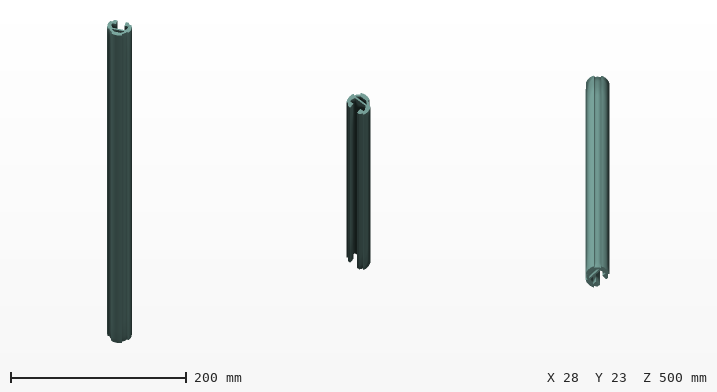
import cadquery as cq
import math

length = 500.0
pad_radius = 14.0
body_radius = 12.0
pad_half_angle = 28.0
pad_angles = (0, 180, 270)
top_y = 9.0

slot_width = 10.0
lip_underside_y = 3.0
slot_top_width = 19.5
slot_side_y = 0.5
slot_floor_width = 15.5
slot_floor_y = -3.5

hollow_top_y = -5.5
hollow_top_width = 16.0
hollow_bottom_y = -9.0
hollow_bottom_width = 8.0


def polar(radius, angle):
    """Point on a circle about the profile axis, with the angle in degrees."""
    return radius * math.cos(math.radians(angle)), radius * math.sin(math.radians(angle))


def symmetric_prism(right_side):
    """Full-length prism from the right half of an outline mirrored about X = 0."""
    left_side = [(-x, y) for x, y in reversed(right_side)]
    return cq.Workplane("XY").polyline(right_side + left_side).close().extrude(length)


def pad(angle):
    """Raised sector with radial ends, overlapping the body on its inner side."""
    inner_radius = (body_radius + slot_top_width / 2) / 2
    start = angle - pad_half_angle
    end = angle + pad_half_angle
    return (
        cq.Workplane("XY")
        .moveTo(*polar(inner_radius, start))
        .lineTo(*polar(pad_radius, start))
        .threePointArc(polar(pad_radius, angle), polar(pad_radius, end))
        .lineTo(*polar(inner_radius, end))
        .threePointArc(polar(inner_radius, angle), polar(inner_radius, start))
        .close()
        .extrude(length)
    )


body = cq.Workplane("XY").circle(body_radius).extrude(length)
for pad_angle in pad_angles:
    body = body.union(pad(pad_angle))

above_lips = cq.Workplane("XY").rect(2 * pad_radius, 2 * pad_radius).extrude(length)
body = body.cut(above_lips.translate((0, top_y + pad_radius, 0)))

t_slot = symmetric_prism([
    (slot_width / 2, pad_radius),
    (slot_width / 2, lip_underside_y),
    (slot_top_width / 2, lip_underside_y),
    (slot_top_width / 2, slot_side_y),
    (slot_floor_width / 2, slot_floor_y),
])

hollow = symmetric_prism([
    (hollow_top_width / 2, hollow_top_y),
    (hollow_bottom_width / 2, hollow_bottom_y),
])

result = body.cut(t_slot).cut(hollow)